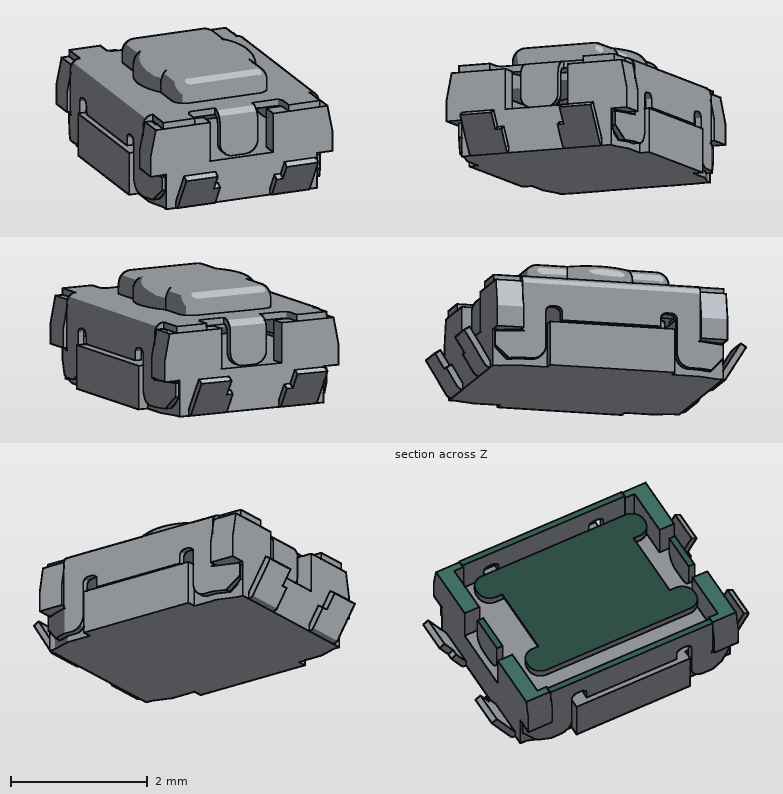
import cadquery as cq
import math


span_x = 4.29
span_y = 2.9
total_height = 1.7
sheet = 0.1
half_y = span_y / 2

half_x = 1.75
cover_top = 1.35
housing_top = cover_top - sheet
floor_z = 0.65
cavity_half_x = 1.5
cavity_half_y = 1.27
end_slot_half_y = 0.5
side_block_half_x = 0.95
corner_inner_x = 1.35
corner_slope_start_z = 0.85
corner_slope_inset = 0.08
corner_bottom_z = 0.54
clip_pocket_y = 1.2
clip_pocket_x = 1.655

cover_half_y = 1.4
side_inner_y = cover_half_y - sheet
bend_outer_r = 0.15
bend_inner_r = bend_outer_r - sheet
plate_half_y = cover_half_y - bend_outer_r
leg_bottom_z = 0.1
leg_inner_x = 1.0
leg_corner_r = 0.2
apron_half_x = 0.75
apron_bottom_z = 0.695
relief_top_z = 0.9
relief_corner_r = 0.1
notch_x = 1.45
notch_half_y = 0.75
notch_corner_r = 0.1
tongue_half_y = 0.3
tongue_bend_r = 0.2
tongue_corner_r = 0.2
clip_start_x = 1.325
clip_end_x = 1.737
clip_top_z = 0.5
clip_angle = math.radians(20)
clip_chamfer_x = 0.195
clip_chamfer_z = 0.2

button_x = 2.2
button_y = 1.5
boss_r = 0.9
button_edge_r = 0.2
button_bottom_z = 1.0
stem_d = 0.8
stem_bottom_z = 0.75
flange_half_x = 1.4
flange_half_y = 1.0
flange_gap_half_y = 0.55
flange_corner_r = 0.2
flange_edge_r = 0.1

terminal_outer_y = 1.05
terminal_inner_y = 0.45
terminal_step_y = 0.55
terminal_step_length = 0.27
terminal_lean = math.radians(32)

SIDES = (-1, 1)
CORNERS = [(sx, sy) for sx in SIDES for sy in SIDES]


def box(x0, x1, y0, y1, z0, z1):
    """Axis-aligned block between the given limits."""
    return cq.Workplane("XY").box(x1 - x0, y1 - y0, z1 - z0, centered=False).translate((x0, y0, z0))


def to_side(body, sx, sy):
    """Mirror a body from the +X +Y quarter into the quarter with the given signs."""
    if sx < 0:
        body = body.mirror("YZ")
    if sy < 0:
        body = body.mirror("XZ")
    return body


def button_flange():
    """H-shaped retaining plate with rounded outer corners and rounded lower edges."""
    gap_x = button_x / 2 - button_edge_r
    plate = box(-flange_half_x, flange_half_x, -flange_half_y, flange_half_y, button_bottom_z, housing_top)
    for sx in SIDES:
        gap = box(gap_x, flange_half_x, -flange_gap_half_y, flange_gap_half_y, button_bottom_z, housing_top)
        plate = plate.cut(to_side(gap, sx, 1))
    return plate.edges("|Z").edges(">X or <X").fillet(flange_corner_r).faces("<Z").edges().fillet(flange_edge_r)


def make_button():
    height = total_height - button_bottom_z
    base = cq.Workplane("XY").workplane(offset=button_bottom_z)
    block = base.rect(button_x, button_y).extrude(height).edges().fillet(button_edge_r)
    boss = base.circle(boss_r).extrude(height).edges().fillet(button_edge_r)
    stem = (
        cq.Workplane("XY").workplane(offset=stem_bottom_z)
        .circle(stem_d / 2)
        .extrude(button_bottom_z + button_edge_r - stem_bottom_z)
        .faces("<Z").edges().fillet(button_edge_r)
    )
    return block.union(boss).union(stem).union(button_flange())


def bent_channel():
    """Top sheet bent down into the two long sides."""
    diagonal = math.sqrt(0.5)
    bend_z = cover_top - bend_outer_r
    return (
        cq.Workplane("YZ").workplane(offset=-corner_inner_x)
        .moveTo(-cover_half_y, leg_bottom_z)
        .lineTo(-cover_half_y, bend_z)
        .threePointArc(
            (-plate_half_y - bend_outer_r * diagonal, bend_z + bend_outer_r * diagonal), (-plate_half_y, cover_top)
        )
        .lineTo(plate_half_y, cover_top)
        .threePointArc(
            (plate_half_y + bend_outer_r * diagonal, bend_z + bend_outer_r * diagonal), (cover_half_y, bend_z)
        )
        .lineTo(cover_half_y, leg_bottom_z)
        .lineTo(side_inner_y, leg_bottom_z)
        .lineTo(side_inner_y, bend_z)
        .threePointArc(
            (plate_half_y + bend_inner_r * diagonal, bend_z + bend_inner_r * diagonal), (plate_half_y, housing_top)
        )
        .lineTo(-plate_half_y, housing_top)
        .threePointArc(
            (-plate_half_y - bend_inner_r * diagonal, bend_z + bend_inner_r * diagonal), (-side_inner_y, bend_z)
        )
        .lineTo(-side_inner_y, leg_bottom_z)
        .close()
        .extrude(2 * corner_inner_x)
    )


def side_window():
    """Opening between the cover legs, with a rounded relief slot on each side of the apron."""
    opening = box(-leg_inner_x, leg_inner_x, -half_y, half_y, 0, apron_bottom_z)
    for sx in SIDES:
        relief = box(apron_half_x, leg_inner_x, -half_y, half_y, 0, relief_top_z)
        relief = relief.edges("|Y and >Z").fillet(relief_corner_r)
        opening = opening.union(to_side(relief, sx, 1))
    return opening


def leg_corner_cutter():
    """Material outside the round at the inner bottom corner of a leg."""
    square = box(leg_inner_x, leg_inner_x + leg_corner_r, 0, half_y, leg_bottom_z, leg_bottom_z + leg_corner_r)
    round_part = (
        cq.Workplane("XZ")
        .center(leg_inner_x + leg_corner_r, leg_bottom_z + leg_corner_r)
        .circle(leg_corner_r)
        .extrude(-half_y)
    )
    return square.cut(round_part)


def clip():
    """Tab at the foot of a leg, bent inwards under the housing corner."""
    cos_a = math.cos(clip_angle)
    sin_a = math.sin(clip_angle)
    cos_half = math.cos(clip_angle / 2)
    sin_half = math.sin(clip_angle / 2)
    centre_y = cover_half_y - bend_outer_r

    def on_bend(radius, cosine, sine):
        return (clip_start_x + radius * sine, centre_y + radius * cosine)

    bend_end = on_bend(bend_outer_r, cos_a, sin_a)
    tip_outer = (clip_end_x, bend_end[1] - (clip_end_x - bend_end[0]) * math.tan(clip_angle))
    tip_inner = (tip_outer[0] - sheet * sin_a, tip_outer[1] - sheet * cos_a)
    tab = (
        cq.Workplane("XY").workplane(offset=leg_bottom_z)
        .moveTo(clip_start_x, cover_half_y)
        .threePointArc(on_bend(bend_outer_r, cos_half, sin_half), bend_end)
        .lineTo(*tip_outer)
        .lineTo(*tip_inner)
        .lineTo(*on_bend(bend_inner_r, cos_a, sin_a))
        .threePointArc(on_bend(bend_inner_r, cos_half, sin_half), (clip_start_x, side_inner_y))
        .close()
        .extrude(clip_top_z - leg_bottom_z)
    )
    lower_corner = (
        cq.Workplane("XZ")
        .moveTo(clip_end_x, leg_bottom_z)
        .lineTo(clip_end_x, leg_bottom_z + clip_chamfer_z)
        .lineTo(clip_end_x - clip_chamfer_x, leg_bottom_z)
        .close()
        .extrude(-half_y)
    )
    return tab.cut(lower_corner)


def tongue():
    """Strip at the end of the cover, bent down into the end-wall slot."""
    outer_x = notch_x + tongue_bend_r
    inner_r = tongue_bend_r - sheet
    bend_z = cover_top - tongue_bend_r
    diagonal = math.sqrt(0.5)
    return (
        cq.Workplane("XZ").workplane(offset=-tongue_half_y)
        .moveTo(notch_x, cover_top)
        .threePointArc((notch_x + tongue_bend_r * diagonal, bend_z + tongue_bend_r * diagonal), (outer_x, bend_z))
        .lineTo(outer_x, floor_z)
        .lineTo(outer_x - sheet, floor_z)
        .lineTo(outer_x - sheet, bend_z)
        .threePointArc((notch_x + inner_r * diagonal, bend_z + inner_r * diagonal), (notch_x, housing_top))
        .close()
        .extrude(2 * tongue_half_y)
        .edges("|X and <Z").fillet(tongue_corner_r)
    )


def make_cover(button):
    cover = bent_channel().union(box(-half_x, half_x, -plate_half_y, plate_half_y, housing_top, cover_top))
    cover = cover.cut(side_window()).cut(button)
    for sx in SIDES:
        notch = box(notch_x, half_x, -notch_half_y, notch_half_y, 0, cover_top)
        notch = notch.edges("|Z and <X").fillet(notch_corner_r)
        cover = cover.cut(to_side(notch, sx, 1)).union(to_side(tongue(), sx, 1))
    for sx, sy in CORNERS:
        flat_edge = box(clip_start_x, corner_inner_x, side_inner_y, cover_half_y, 0, clip_top_z)
        cover = cover.cut(to_side(flat_edge.union(leg_corner_cutter()), sx, sy))
        cover = cover.union(to_side(clip(), sx, sy))
    return cover


def corner_post():
    """Overhanging corner with a sloped upper outer face."""
    return (
        cq.Workplane("YZ").workplane(offset=corner_inner_x)
        .moveTo(cavity_half_y, corner_bottom_z)
        .lineTo(half_y, corner_bottom_z)
        .lineTo(half_y, corner_slope_start_z)
        .lineTo(half_y - corner_slope_inset, housing_top)
        .lineTo(cavity_half_y, housing_top)
        .close()
        .extrude(half_x - corner_inner_x)
    )


def clip_pocket():
    """Space behind a clip, below the corner post."""
    return (
        cq.Workplane("XY")
        .moveTo(corner_inner_x, side_inner_y)
        .lineTo(clip_pocket_x, clip_pocket_y)
        .lineTo(half_x, clip_pocket_y)
        .lineTo(half_x, side_inner_y)
        .close()
        .extrude(corner_bottom_z)
    )


def make_housing(cover):
    housing = box(-half_x, half_x, -side_inner_y, side_inner_y, 0, floor_z)
    housing = housing.union(box(-side_block_half_x, side_block_half_x, -half_y, half_y, 0, floor_z))
    for sx in SIDES:
        wall = box(cavity_half_x, half_x, -cavity_half_y, cavity_half_y, 0, housing_top)
        slot = box(cavity_half_x, half_x, -end_slot_half_y, end_slot_half_y, floor_z, housing_top)
        housing = housing.union(to_side(wall.cut(slot), sx, 1))
    for sx, sy in CORNERS:
        housing = housing.union(to_side(corner_post(), sx, sy))
        housing = housing.cut(to_side(clip_pocket(), sx, sy))
    return housing.cut(cover)


def make_terminal(sx, sy):
    """Sheet leg that starts at the end wall and leans up and outwards."""
    sin_l = math.sin(terminal_lean)
    cos_l = math.cos(terminal_lean)
    length = (span_x / 2 - half_x - sheet * cos_l) / sin_l
    half_turn = (math.pi / 2 - terminal_lean) / 2

    def strip(y0, y1, strip_length):
        tip_x = half_x + strip_length * sin_l
        tip_z = sheet + strip_length * cos_l
        return (
            cq.Workplane("XZ").workplane(offset=-y1)
            .moveTo(half_x, 0)
            .threePointArc(
                (half_x + sheet * math.sin(half_turn), sheet - sheet * math.cos(half_turn)),
                (half_x + sheet * cos_l, sheet - sheet * sin_l),
            )
            .lineTo(tip_x + sheet * cos_l, tip_z - sheet * sin_l)
            .lineTo(tip_x, tip_z)
            .lineTo(half_x, sheet)
            .close()
            .extrude(y1 - y0)
        )

    long_strip = strip(terminal_step_y, terminal_outer_y, length)
    short_strip = strip(terminal_inner_y, terminal_step_y, length - terminal_step_length)
    return to_side(long_strip.union(short_strip), sx, sy)


button = make_button()
cover = make_cover(button)
housing = make_housing(cover)
terminals = [make_terminal(sx, sy) for sx, sy in CORNERS]

result = cq.Compound.makeCompound(
    [body.solids().val() for body in (housing, cover, button, *terminals)]
)